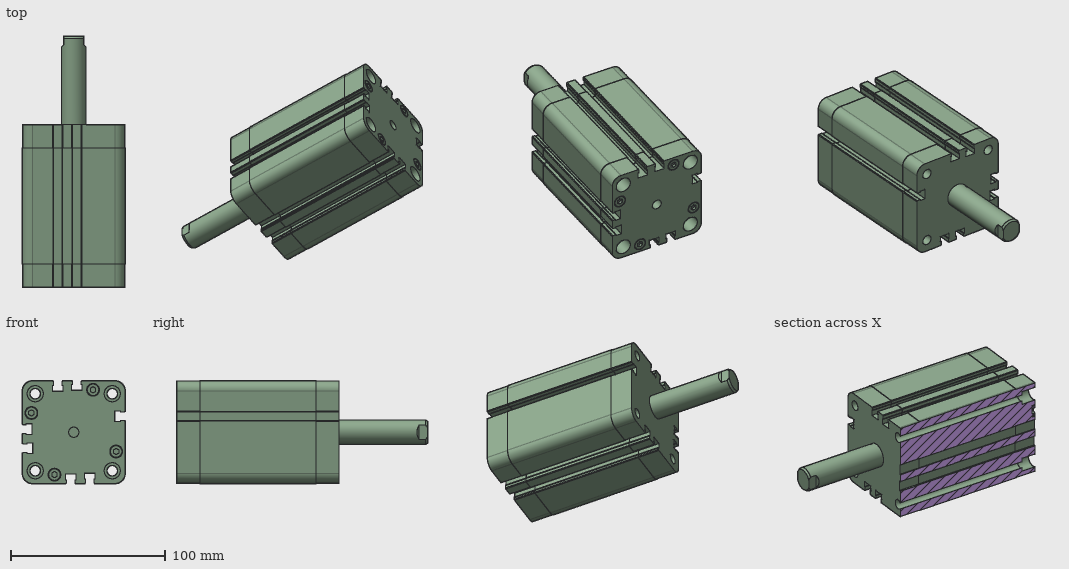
import cadquery as cq
import math

body_length = 105.5
cap_length = 15.0
total_length = 163.0

tube_side = 67.0
cap_side = 66.5
corner_center = 26.75

slot_near_offset = 2.0
slot_far_offset = -10.4
slot_neck_width = 5.4
slot_inner_width = 6.7
slot_near_shelf = 30.9
slot_far_shelf = 30.3
slot_head_height = 3.65
slot_lip_chamfer = 0.5
slot_cap_clearance = 0.15

rod_diameter = 16.0
rod_chamfer_length = 1.5
rod_chamfer_depth = 0.9
flat_width = 13.0
flat_length = 5.6

mount_pitch = 50.0
mount_diameter = 6.65
mount_counterbore_diameter = 10.5
mount_counterbore_depth = 10.0

center_hole_diameter = 6.65
center_hole_depth = 10.0

screw_radial_offset = 27.5
screw_side_offset = 12.5
screw_seat_diameter = 8.25
screw_head_diameter = 7.5
screw_gap_depth = 2.0
socket_across_flats = 3.5
socket_depth = 2.0


def section_plane(y):
    """Plane at the given Y with local x = X, local y = Z and normal -Y."""
    return cq.Workplane("XZ", origin=(0, y, 0))


def rounded_block(side, y_start, length):
    """Square bar along +Y whose corner arcs share the same centers."""
    block = section_plane(y_start).rect(side, side).extrude(-length)
    return block.edges("|Y").fillet(side / 2 - corner_center)


def body():
    tube = rounded_block(tube_side, cap_length, body_length - 2 * cap_length)
    rear_cap = rounded_block(cap_side, 0, cap_length)
    front_cap = rounded_block(cap_side, body_length - cap_length, cap_length)
    return tube.union(rear_cap).union(front_cap)


def slot_opening(face, center, shelf, clearance):
    """Chamfered neck and T-head of one slot in an outer face at height `face`."""
    half_neck = slot_neck_width / 2 + clearance
    half_inner = slot_inner_width / 2 + clearance
    half_mouth = half_neck + slot_lip_chamfer
    floor = shelf - slot_head_height - clearance
    right_side = [
        (half_inner, floor),
        (half_inner, shelf),
        (half_neck, shelf),
        (half_neck, face - slot_lip_chamfer),
        (half_mouth, face),
        (half_mouth, tube_side),
    ]
    left_side = [(-x, z) for x, z in reversed(right_side)]
    return [(center + x, z) for x, z in right_side + left_side]


def slot(center, shelf, angle):
    """Full-length slot cutter for the top face, turned about Y by `angle`."""
    tube_length = body_length - 2 * cap_length
    sections = [
        (cap_side, slot_cap_clearance, 0, cap_length),
        (tube_side, 0, cap_length, tube_length),
        (cap_side, slot_cap_clearance, body_length - cap_length, cap_length),
    ]
    cutter = cq.Workplane("XZ")
    for side, clearance, y_start, length in sections:
        outline = slot_opening(side / 2, center, shelf, clearance)
        cutter = cutter.union(section_plane(y_start).polyline(outline).close().extrude(-length))
    return cutter.rotate((0, 0, 0), (0, 1, 0), angle)


def cut_slots(part):
    for angle in (0, 90, 180, 270):
        part = part.cut(slot(slot_far_offset, slot_far_shelf, angle))
        has_near_slot = angle != 90
        if has_near_slot:
            part = part.cut(slot(slot_near_offset, slot_near_shelf, angle))
    return part


def rod():
    """Rod with a chamfered end and two flats that run out at 45 degrees."""
    radius = rod_diameter / 2
    bar = (
        section_plane(body_length)
        .circle(radius)
        .extrude(body_length - total_length)
        .faces(">Y")
        .chamfer(rod_chamfer_length, rod_chamfer_depth)
    )
    half_flat = flat_width / 2
    flat_end = total_length - flat_length
    runout = radius - half_flat
    flat_outline = [
        (half_flat, total_length),
        (half_flat, flat_end),
        (radius, flat_end - runout),
        (radius, total_length),
    ]
    flat = cq.Workplane("XY").polyline(flat_outline).close().extrude(radius, both=True)
    return bar.cut(flat).cut(flat.mirror("YZ"))


def cut_mount_holes(part):
    rear = section_plane(0).rect(mount_pitch, mount_pitch, forConstruction=True).vertices()
    holes = rear.circle(mount_diameter / 2).extrude(-body_length)
    counterbores = rear.circle(mount_counterbore_diameter / 2).extrude(-mount_counterbore_depth)
    return part.cut(holes).cut(counterbores)


def cut_center_hole(part):
    hole = section_plane(0).circle(center_hole_diameter / 2).extrude(-center_hole_depth)
    return part.cut(hole)


def cut_screws(part):
    """Gap ring around each screw head and a hexagonal socket inside it."""
    across_corners = socket_across_flats / math.cos(math.pi / 6)
    centers = [
        (screw_side_offset, screw_radial_offset),
        (screw_radial_offset, -screw_side_offset),
        (-screw_side_offset, -screw_radial_offset),
        (-screw_radial_offset, screw_side_offset),
    ]
    for x, z in centers:
        plane = section_plane(0).center(x, z)
        gap = (
            plane.circle(screw_seat_diameter / 2)
            .circle(screw_head_diameter / 2)
            .extrude(-screw_gap_depth)
        )
        upright = plane.transformed(rotate=(0, 0, 90))
        socket = upright.polygon(6, across_corners).extrude(-socket_depth)
        part = part.cut(gap).cut(socket)
    return part


result = cut_slots(body())
result = cut_mount_holes(result)
result = cut_center_hole(result)
result = cut_screws(result)
result = result.union(rod())